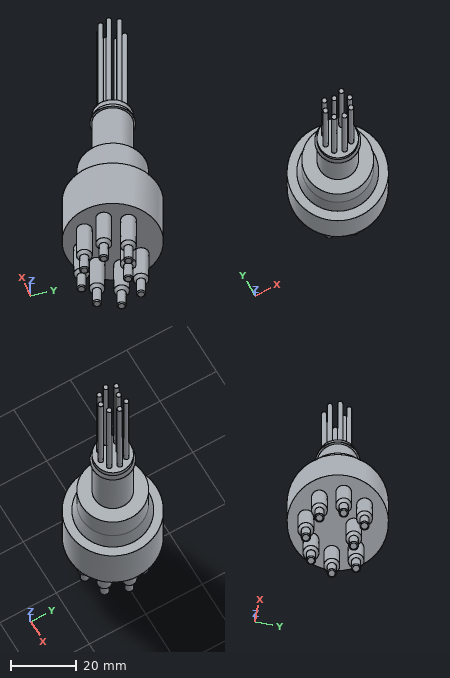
import cadquery as cq
import math

OVERALL_HEIGHT = 118.0

BASE_DIAMETER = 31.0
BASE_BOTTOM = 19.0
BASE_TOP = 37.9

FLARE_DIAMETER = 25.0
COLLAR_DIAMETER = 22.0
COLLAR_BOTTOM = 42.8
COLLAR_TOP = 52.4

STEM_DIAMETER = 12.7
STEM_TOP = 78.0
BARB_DIAMETER = 14.0
BARB_BOTTOM = 74.2
BARB_TOP = 76.0

PIN_CIRCLE_RADIUS = 9.9
PIN_SLEEVE_DIAMETER = 4.8
PIN_TIP_DIAMETER = 2.8
PIN_TIP_TOP = 6.0
PIN_SLEEVE_BOTTOM = 7.1
PIN_END_CHAMFER = 0.4

WIRE_CIRCLE_RADIUS = 4.2
WIRE_DIAMETER = 1.7

POSITIONS = 8
KEY_POSITION = 2
KEY_RADIUS_RATIO = 0.5


def layout(circle_radius):
    """XY centres of the contacts, with the keyed one pulled towards the axis."""
    centres = []
    for index in range(POSITIONS):
        angle = index * 2 * math.pi / POSITIONS
        radius = circle_radius
        if index == KEY_POSITION:
            radius *= KEY_RADIUS_RATIO
        centres.append((radius * math.cos(angle), radius * math.sin(angle)))
    return centres


def revolve_profile(steps):
    """Solid of revolution about Z from (diameter, z) corners listed upwards."""
    bottom = steps[0][1]
    top = steps[-1][1]
    outline = [(0, bottom)]
    outline += [(diameter / 2, z) for diameter, z in steps]
    outline += [(0, top)]
    return cq.Workplane("XZ").polyline(outline).close().revolve(360, (0, 0), (0, 1))


def make_body():
    """Base, conical flare, collar and stem with its barbed ring."""
    return revolve_profile([
        (BASE_DIAMETER, BASE_BOTTOM),
        (BASE_DIAMETER, BASE_TOP),
        (FLARE_DIAMETER, BASE_TOP),
        (COLLAR_DIAMETER, COLLAR_BOTTOM),
        (COLLAR_DIAMETER, COLLAR_TOP),
        (STEM_DIAMETER, COLLAR_TOP),
        (STEM_DIAMETER, BARB_BOTTOM),
        (BARB_DIAMETER, BARB_BOTTOM),
        (STEM_DIAMETER, BARB_TOP),
        (STEM_DIAMETER, STEM_TOP),
    ])


def make_pin():
    """Contact pin on the Z axis: chamfered tip, tapered shoulder and sleeve."""
    return revolve_profile([
        (PIN_TIP_DIAMETER - 2 * PIN_END_CHAMFER, 0),
        (PIN_TIP_DIAMETER, PIN_END_CHAMFER),
        (PIN_TIP_DIAMETER, PIN_TIP_TOP),
        (PIN_SLEEVE_DIAMETER, PIN_SLEEVE_BOTTOM),
        (PIN_SLEEVE_DIAMETER, BASE_BOTTOM),
    ])


def make_wires():
    """Straight wires rising from the end of the stem."""
    return (
        cq.Workplane("XY")
        .workplane(offset=STEM_TOP)
        .pushPoints(layout(WIRE_CIRCLE_RADIUS))
        .circle(WIRE_DIAMETER / 2)
        .extrude(OVERALL_HEIGHT - STEM_TOP)
    )


result = make_body().union(make_wires())
for x, y in layout(PIN_CIRCLE_RADIUS):
    result = result.union(make_pin().translate((x, y, 0)))